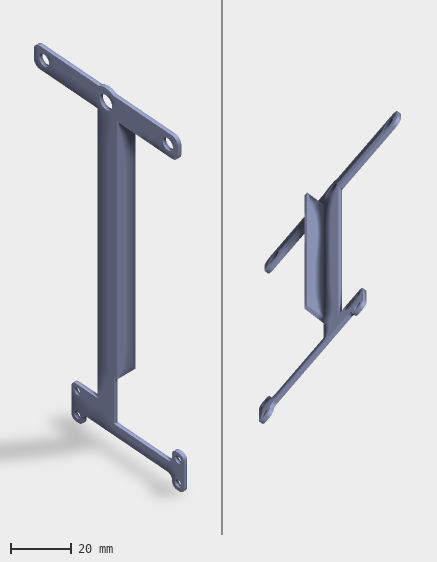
import cadquery as cq

total_height = 151.0
total_width = 73.0
total_depth = 8.5
sheet = 1.5

bar_length = 70.0
bar_height = 10.0
bar_corner = 3.0
boss_radius = 6.0
center_hole = 6.0
end_hole = 5.0
bar_center_x = bar_length / 2
bar_center_z = total_height - boss_radius
bar_bottom = bar_center_z - bar_height / 2
end_hole_inset = bar_height / 2

stem_left = 31.0
stem_right = 39.0
flange_bottom = 29.7

pad_width = 5.7
pad_height = 16.2
left_pad_x = 18.3
right_pad_x = total_width - pad_width
arm_bottom = 5.0
arm_top = 10.0
pad_corner = 2.3
arm_fillet = 2.3
pad_hole = 3.0
pad_hole_inset = 3.0


def box(x_min, x_max, z_min, z_max, depth=sheet):
    """Block given by its X and Z limits, rising from Y = 0."""
    size_x = x_max - x_min
    size_z = z_max - z_min
    return cq.Workplane("XY").box(size_x, depth, size_z, centered=False).translate((x_min, 0, z_min))


def disc(x, z, diameter):
    """Sheet-thick cylinder along Y."""
    center = cq.Vector(x, 0, z)
    return cq.Workplane(cq.Solid.makeCylinder(diameter / 2, sheet, center, cq.Vector(0, 1, 0)))


def round_edges(body, points, radius):
    """Round the edges along Y that pass through the given (X, Z) points."""
    for x, z in points:
        body = body.edges(cq.selectors.NearestToPointSelector((x, sheet / 2, z))).fillet(radius)
    return body


def make_crossbar():
    bar = box(0, bar_length, bar_bottom, bar_bottom + bar_height).edges("|Y").fillet(bar_corner)
    return bar.union(disc(bar_center_x, bar_center_z, 2 * boss_radius))


def make_stem():
    web = box(stem_left, stem_right, arm_bottom, bar_center_z)
    flange = box(stem_right, stem_right + sheet, flange_bottom, bar_bottom, total_depth)
    return web.union(flange)


def make_foot():
    left_pad_end = left_pad_x + pad_width
    foot = box(left_pad_x, left_pad_end, 0, pad_height)
    foot = foot.union(box(left_pad_x, stem_right, arm_bottom, pad_height))
    foot = foot.union(box(right_pad_x, total_width, 0, pad_height))
    foot = foot.union(box(left_pad_x, total_width, arm_bottom, arm_top))
    outer_corners = [
        (left_pad_x, 0),
        (left_pad_end, 0),
        (left_pad_x, pad_height),
        (right_pad_x, 0),
        (total_width, 0),
        (right_pad_x, pad_height),
        (total_width, pad_height),
    ]
    inner_corners = [
        (left_pad_end, arm_bottom),
        (right_pad_x, arm_bottom),
        (right_pad_x, arm_top),
    ]
    foot = round_edges(foot, outer_corners, pad_corner)
    return round_edges(foot, inner_corners, arm_fillet)


def cut_holes(body):
    body = body.cut(disc(bar_center_x, bar_center_z, center_hole))
    for x in (end_hole_inset, bar_length - end_hole_inset):
        body = body.cut(disc(x, bar_center_z, end_hole))
    for pad_x in (left_pad_x, right_pad_x):
        for z in (pad_hole_inset, pad_height - pad_hole_inset):
            body = body.cut(disc(pad_x + pad_width / 2, z, pad_hole))
    return body


result = cut_holes(make_crossbar().union(make_stem()).union(make_foot()))